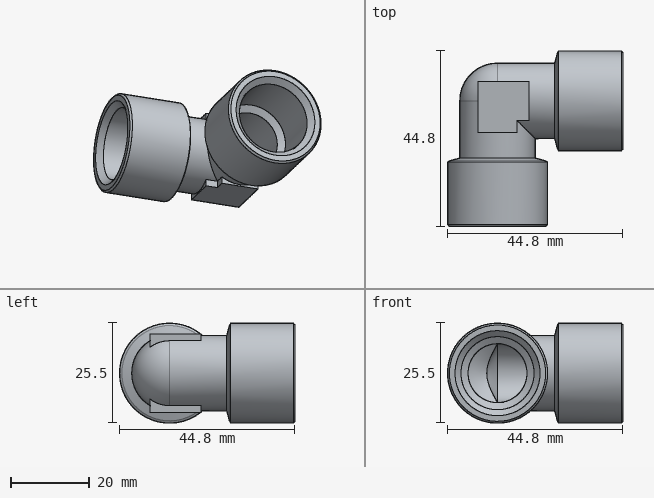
import cadquery as cq
import math

overall_length = 44.75
socket_radius = 25.5 / 2
leg_length = overall_length - socket_radius
tube_radius = 19.3 / 2

socket_length = 17.45
shoulder_length = 0.65
shoulder_radius = 12.13
shoulder_bevel = 0.35
rim_chamfer = 0.5

thread_radius = 18.6 / 2
bore_radius = 15.0 / 2
countersink_radius = 10.85
countersink_depth = 1.5
thread_depth = 16.1
drill_slope = math.tan(math.radians(30))

pad_half_width = 4.95
pad_reach = 8.05
pad_height = 10.02


def revolve_about_x(points):
    """Solid of revolution about X from (axial, radial) points."""
    return cq.Workplane("XY").polyline(points).close().revolve(360, (0, 0, 0), (1, 0, 0))


def on_both_legs(leg):
    """Join a +X leg with its copy turned onto -Y."""
    return leg.union(leg.rotate((0, 0, 0), (0, 0, 1), -90))


def leg_body():
    socket_start = leg_length - socket_length
    return revolve_about_x([
        (0, 0),
        (0, tube_radius),
        (socket_start, tube_radius),
        (socket_start + shoulder_length, shoulder_radius),
        (socket_start + shoulder_length + shoulder_bevel, socket_radius),
        (leg_length - rim_chamfer, socket_radius),
        (leg_length, socket_radius - rim_chamfer),
        (leg_length, 0),
    ])


def leg_bore():
    thread_end = leg_length - thread_depth
    step_length = (thread_radius - bore_radius) * drill_slope
    return revolve_about_x([
        (-bore_radius * drill_slope, 0),
        (0, bore_radius),
        (thread_end - step_length, bore_radius),
        (thread_end, thread_radius),
        (leg_length - countersink_depth, thread_radius),
        (leg_length, countersink_radius),
        (leg_length, 0),
    ])


def wrench_pads():
    """L-shaped block whose top and bottom faces form the two pads."""
    outline = [
        (-pad_half_width, pad_half_width),
        (pad_reach, pad_half_width),
        (pad_reach, -pad_half_width),
        (pad_half_width, -pad_half_width),
        (pad_half_width, -pad_reach),
        (-pad_half_width, -pad_reach),
    ]
    return cq.Workplane("XY").polyline(outline).close().extrude(pad_height, both=True)


corner_ball = cq.Workplane("XY").sphere(tube_radius)
body = on_both_legs(leg_body()).union(corner_ball).union(wrench_pads())
result = body.cut(on_both_legs(leg_bore()))